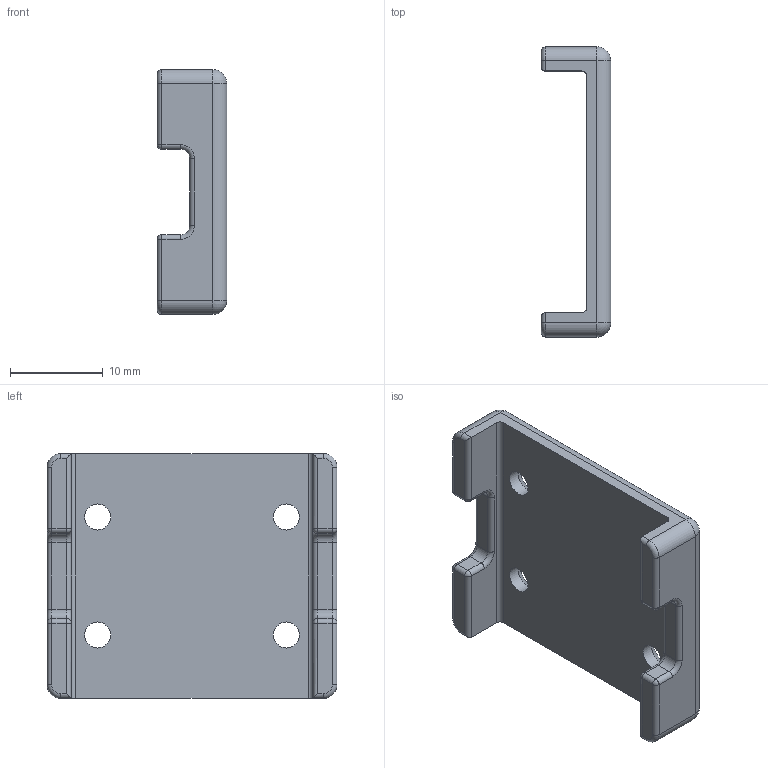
import cadquery as cq

depth = 7.49
width = 31.2
height = 26.36

wall = 2.6
outer_radius = 1.5
edge_radius = 0.5

notch_depth = 3.5
notch_height = 9.18
notch_corner_radius = 1.0

hole_diameter = 2.8
countersink_diameter = 5.4
hole_spacing_y = 20.32
hole_spacing_z = 12.7

back_x = depth / 2
tip_x = -depth / 2
plate_inner_x = back_x - wall
notch_floor_x = tip_x + notch_depth
countersink_start_x = back_x - (countersink_diameter - hole_diameter) / 2
inner_width = width - 2 * wall


def box(x_min, x_max, size_y, size_z):
    """Box between two X positions, centred on Y and Z."""
    return cq.Workplane("XY").box(x_max - x_min, size_y, size_z).translate(((x_min + x_max) / 2, 0, 0))


def rounded_block():
    """Outer block: all edges rounded except those of the flange-tip face."""
    block = box(tip_x, back_x, width, height)
    return block.edges("|X or >X").fillet(outer_radius)


def channel():
    """Space between the flanges, open at the tips, the top and the bottom."""
    space = box(tip_x - wall, plate_inner_x, inner_width, height)
    return space.edges("|Z and >X").fillet(edge_radius)


def notch():
    """Round-cornered cutter that crosses both flanges along Y."""
    cutter = box(tip_x - wall, notch_floor_x, width, notch_height)
    return cutter.edges("|Y and >X").fillet(notch_corner_radius)


def mounting_hole():
    """Hole along X, centred on the X axis, with a conical countersink in the outer face of the back plate."""
    half_section = (
        cq.Workplane("XZ")
        .moveTo(plate_inner_x, 0)
        .lineTo(plate_inner_x, -hole_diameter / 2)
        .lineTo(countersink_start_x, -hole_diameter / 2)
        .lineTo(back_x, -countersink_diameter / 2)
        .lineTo(back_x, 0)
        .close()
    )
    return half_section.revolve(360, (0, 0, 0), (1, 0, 0))


def drill_mounting_holes(bracket):
    """Cut the four holes on a rectangular pattern in the back plate."""
    for y in (-hole_spacing_y / 2, hole_spacing_y / 2):
        for z in (-hole_spacing_z / 2, hole_spacing_z / 2):
            bracket = bracket.cut(mounting_hole().translate((0, y, z)))
    return bracket


def round_free_edges(bracket):
    """Round the flange tips and the notch edges on both faces of each flange."""
    notch_zone = cq.selectors.BoxSelector(
        (tip_x - edge_radius, -width, -notch_height / 2 - edge_radius),
        (notch_floor_x + edge_radius / 2, width, notch_height / 2 + edge_radius),
    )
    tip_edges = bracket.faces("<X").edges()
    notch_edges = bracket.edges(notch_zone)
    return tip_edges.add(notch_edges).fillet(edge_radius)


bracket = rounded_block().cut(channel()).cut(notch())
result = drill_mounting_holes(round_free_edges(bracket))